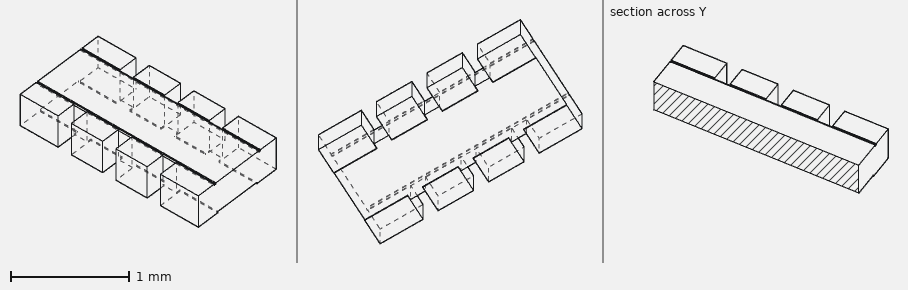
import cadquery as cq

length = 2.0
width = 1.0
height = 0.35

layer = 0.015
body_width = 0.592
groove_width = 0.02
cover_width = body_width - 2 * groove_width

pitch = 0.5
inner_terminal_length = 0.352
gap = pitch - inner_terminal_length
outer_terminal_length = length / 2 - pitch / 2 - inner_terminal_length / 2 - gap
terminal_depth = (width - body_width) / 2
pad_depth = 0.25

outer_center = (length - outer_terminal_length) / 2
terminals = [
    (-outer_center, outer_terminal_length),
    (-pitch / 2, inner_terminal_length),
    (pitch / 2, inner_terminal_length),
    (outer_center, outer_terminal_length),
]


def block(size_x, size_y, size_z, x, y, bottom):
    """Box centred on (x, y) and standing on the height bottom."""
    return (
        cq.Workplane("XY")
        .box(size_x, size_y, size_z, centered=(True, True, False))
        .translate((x, y, bottom))
    )


def terminal(x, terminal_length, side):
    """Full-height end block with a thin pad reaching in under the body."""
    block_y = side * (width - terminal_depth) / 2
    pad_y = side * (width - pad_depth) / 2
    end_block = block(terminal_length, terminal_depth, height, x, block_y, -height / 2)
    pad = block(terminal_length, pad_depth, layer, x, pad_y, -height / 2)
    return end_block.union(pad)


result = block(length, body_width, height - 2 * layer, 0, 0, layer - height / 2)
result = result.union(block(length, cover_width, layer, 0, 0, height / 2 - layer))

for side in (-1, 1):
    for x, terminal_length in terminals:
        result = result.union(terminal(x, terminal_length, side))